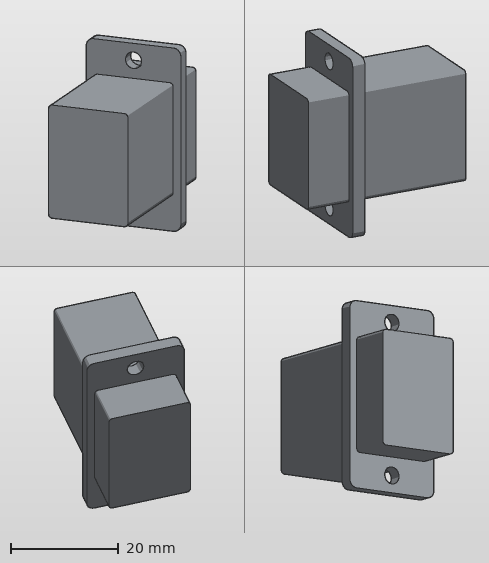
import cadquery as cq

flange_width = 19.05
flange_height = 35.55
flange_thickness = 2.55
flange_corner_radius = 1.5

body_width = 16.0
body_height = 21.98
body_length = 33.05
body_corner_radius = 0.8
front_length = 21.98

hole_diameter = 3.2
hole_spacing = 28.98


def rounded_bar(width, height, length, corner_radius, front_y):
    """Rectangular bar along Y, starting at front_y, with rounded long edges."""
    bar = cq.Workplane("XY").box(width, length, height, centered=(True, False, True))
    return bar.edges("|Y").fillet(corner_radius).translate((0, front_y, 0))


def mounting_holes():
    """Two cylinders along Y that cut through the flange, which starts at y = 0."""
    return (
        cq.Workplane("XZ")
        .pushPoints([(0, -hole_spacing / 2), (0, hole_spacing / 2)])
        .circle(hole_diameter / 2)
        .extrude(-flange_thickness)
    )


flange = rounded_bar(flange_width, flange_height, flange_thickness, flange_corner_radius, 0)
body = rounded_bar(body_width, body_height, body_length, body_corner_radius, -front_length)

result = flange.cut(mounting_holes()).union(body)